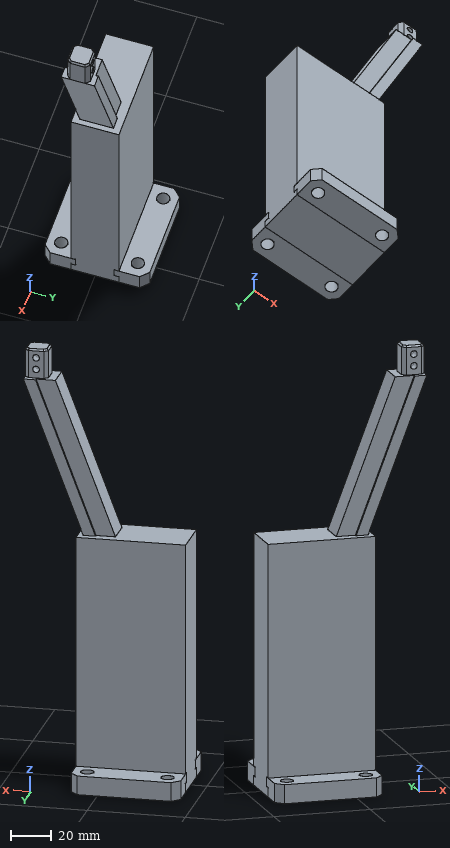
import cadquery as cq


base_length = 56.0
base_width = 55.0
plate_height = 10.0
corner_chamfer = 4.0
bolt_diameter = 6.5
bolt_spacing_x = 41.0
bolt_spacing_y = 40.0

tongue_depth = 2.5
tongue_height = plate_height / 2

block_width = 25.2
block_height = 130.0

overall_length = 83.7
overall_height = 225
arm_top = 210.0
arm_length = 16.2
arm_step = 10.0
arm_lean = 30.5
arm_wide_width = 17.5
arm_narrow_width = 15.0

tip_size = 12.0
tip_corner_chamfer = 2.0
tip_top_chamfer = 1.0
pin_hole_diameter = 3.4
pin_hole_margin = 4.5

block_side = block_width / 2
arm_end_x = overall_length - base_length / 2


def make_block():
    """Upright block with a groove along each side for the plate tongues."""
    block = cq.Workplane("XY").box(
        base_length, block_width, block_height, centered=(True, True, False)
    )
    for side in (-1, 1):
        groove = (
            cq.Workplane("XY")
            .box(base_length, 2 * tongue_depth, tongue_height, centered=(True, True, False))
            .translate((0, side * block_side, plate_height - tongue_height))
        )
        block = block.cut(groove)
    return block


def make_leaning_bar(top_start_x, width):
    """Parallelogram bar from the block top to the arm top, ending at the arm end."""
    return (
        cq.Workplane("XZ")
        .polyline([
            (top_start_x - arm_lean, block_height),
            (arm_end_x - arm_lean, block_height),
            (arm_end_x, arm_top),
            (top_start_x, arm_top),
        ])
        .close()
        .extrude(width / 2, both=True)
    )


def make_arm():
    """Leaning arm whose +X part is slightly wider than the rest."""
    arm_start_x = arm_end_x - arm_length
    narrow_bar = make_leaning_bar(arm_start_x, arm_narrow_width)
    wide_bar = make_leaning_bar(arm_start_x + arm_step, arm_wide_width)
    return narrow_bar.union(wide_bar)


def make_tip():
    """Chamfered square tip with two cross holes along Y."""
    tip_x = arm_end_x - tip_size / 2
    tip = (
        cq.Workplane("XY")
        .box(tip_size, tip_size, overall_height - arm_top, centered=(True, True, False))
        .edges("|Z")
        .chamfer(tip_corner_chamfer)
        .faces(">Z")
        .chamfer(tip_top_chamfer)
        .translate((tip_x, 0, arm_top))
    )
    pin_holes = (
        cq.Workplane("XZ")
        .pushPoints([
            (tip_x, arm_top + pin_hole_margin),
            (tip_x, overall_height - pin_hole_margin),
        ])
        .circle(pin_hole_diameter / 2)
        .extrude(tip_size, both=True)
    )
    return tip.cut(pin_holes)


def make_housing():
    """Block, arm and tip as one solid."""
    return make_block().union(make_arm()).union(make_tip())


def make_clamp_plate(side):
    """Bolted plate on the -Y (side = -1) or +Y (side = 1) flank of the housing."""
    plate_width = base_width / 2 - block_side
    plate = (
        cq.Workplane("XY")
        .box(base_length, plate_width, plate_height, centered=(True, True, False))
        .translate((0, side * (block_side + plate_width / 2), 0))
        .edges("|Z")
        .edges(">Y" if side > 0 else "<Y")
        .chamfer(corner_chamfer)
    )
    tongue = (
        cq.Workplane("XY")
        .box(base_length, tongue_depth, tongue_height, centered=(True, True, False))
        .translate((0, side * (block_side - tongue_depth / 2), plate_height - tongue_height))
    )
    bolt_holes = (
        cq.Workplane("XY")
        .pushPoints([(end * bolt_spacing_x / 2, side * bolt_spacing_y / 2) for end in (-1, 1)])
        .circle(bolt_diameter / 2)
        .extrude(plate_height)
    )
    return plate.union(tongue).cut(bolt_holes)


housing = make_housing()
clamp_plates = [make_clamp_plate(side) for side in (-1, 1)]

result = cq.Compound.makeCompound([housing.val(), *[plate.val() for plate in clamp_plates]])